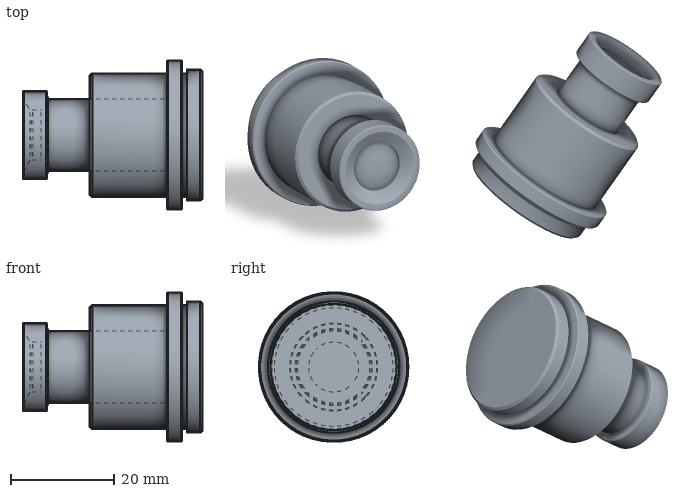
import cadquery as cq

total_length = 34.9

eyecup_radius = 8.55
eyecup_rim_end = 4.68
eyecup_edge_chamfer = 0.17
collar_radius = 7.3
collar_end = 4.85
mouth_radius = 7.25
mouth_depth = 1.43
flare_bulge = 0.02
lens_bore_radius = 4.85
lens_bore_end = 3.5

lens_edge_x = 2.0
lens_dome_height = 0.5

barrel_radius = 7.0

housing_start = 13.0
housing_radius = 12.0
housing_chamfer = 0.5
bore_bevel = 0.5

flange_start = 28.0
flange_end = 30.9
flange_diameter = 29.0
flange_chamfer = 0.2
rear_disc_start = 31.9
rear_disc_radius = 12.75
rear_disc_chamfer = 0.5


def rod(x_start, x_end, radius):
    """Solid cylinder along X between two stations."""
    return cq.Workplane("YZ", origin=(x_start, 0, 0)).circle(radius).extrude(x_end - x_start)


def spin(profile):
    """Turn a closed (x, radius) profile about the X axis."""
    return profile.close().revolve(360, (0, 0, 0), (1, 0, 0))


def make_eyecup():
    head = rod(0, eyecup_rim_end, eyecup_radius).edges().chamfer(eyecup_edge_chamfer)
    collar = rod(eyecup_rim_end, collar_end, collar_radius)
    flare_middle = (mouth_depth / 2 - flare_bulge, (mouth_radius + lens_bore_radius) / 2 - flare_bulge)
    mouth = spin(
        cq.Workplane("XY")
        .moveTo(0, 0)
        .lineTo(0, mouth_radius)
        .threePointArc(flare_middle, (mouth_depth, lens_bore_radius))
        .lineTo(lens_bore_end, lens_bore_radius)
        .lineTo(lens_bore_end, 0)
    )
    return head.union(collar).cut(mouth)


def make_lens():
    dome_radius = (lens_bore_radius**2 + lens_dome_height**2) / (2 * lens_dome_height)
    return spin(
        cq.Workplane("XY")
        .moveTo(lens_edge_x - lens_dome_height, 0)
        .radiusArc((lens_edge_x, lens_bore_radius), dome_radius)
        .lineTo(lens_bore_end, lens_bore_radius)
        .lineTo(lens_bore_end, 0)
    )


def make_barrel():
    return rod(collar_end, flange_start, barrel_radius)


def make_housing():
    sleeve = rod(housing_start, flange_start, housing_radius).faces("<X").chamfer(housing_chamfer)
    bore = spin(
        cq.Workplane("XY")
        .moveTo(housing_start, 0)
        .lineTo(housing_start, barrel_radius + bore_bevel)
        .lineTo(housing_start + bore_bevel, barrel_radius)
        .lineTo(flange_start, barrel_radius)
        .lineTo(flange_start, 0)
    )
    return sleeve.cut(bore)


def make_mount():
    flange = rod(flange_start, flange_end, flange_diameter / 2).edges().chamfer(flange_chamfer)
    groove_floor = rod(flange_end, rear_disc_start, housing_radius)
    rear_disc = rod(rear_disc_start, total_length, rear_disc_radius).faces(">X").chamfer(rear_disc_chamfer)
    return flange.union(groove_floor).union(rear_disc)


eyecup = make_eyecup()
lens = make_lens()
barrel = make_barrel()
housing = make_housing()
mount = make_mount()

result = cq.Compound.makeCompound([eyecup.val(), lens.val(), barrel.val(), housing.val(), mount.val()])